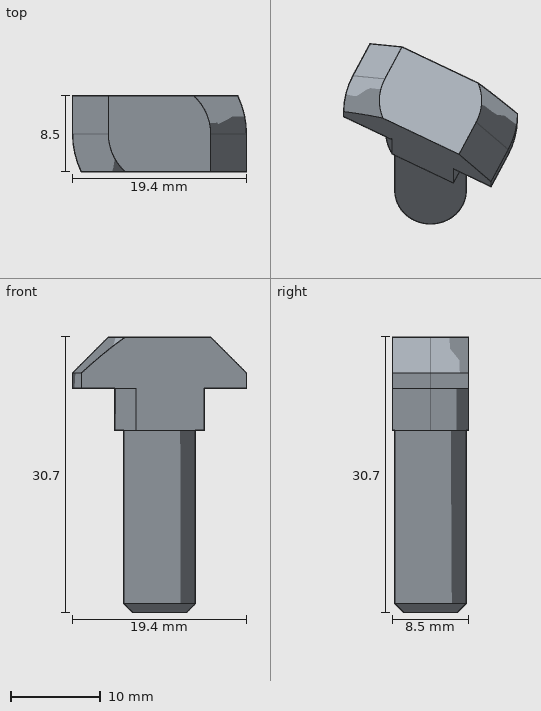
import cadquery as cq


head_length = 19.4
head_width = 8.5
head_edge_height = 1.7
head_bevel = 4.0

neck_length = 10.0
neck_height = 4.7

shank_diameter = 8.0
length_below_head = 25.0
shank_length = length_below_head - neck_height
tip_chamfer = 1.0


def end_profile(length, bottom, edge_top, bevel):
    """Half section in XZ, from the axis out to length / 2, with an optional 45 degree top bevel."""
    end = length / 2
    top = edge_top + bevel
    points = [(0, bottom), (end, bottom), (end, edge_top)]
    if bevel > 0:
        points.append((end - bevel, top))
    points.append((0, top))
    return cq.Workplane("XZ").polyline(points).close()


def half_turn_block(length, bottom, edge_top, bevel=0.0):
    """Block of the head width with two opposite corners rounded about the bolt axis.

    The -X-Y and +X+Y quarters follow a body of revolution, so the block can be
    turned in its slot; the other two quarters keep straight ends.
    """
    half_width = head_width / 2
    straight = end_profile(length, bottom, edge_top, bevel).extrude(half_width)
    height = edge_top + bevel - bottom
    slab = (
        cq.Workplane("XY", origin=(0, 0, bottom))
        .rect(length, half_width, centered=(False, False))
        .extrude(height)
    )
    full_turn = end_profile(length, bottom, edge_top, bevel).revolve(360, (0, 0), (0, 1))
    rounded = full_turn.intersect(slab)
    half = straight.union(rounded)
    other_half = half.rotate((0, 0, 0), (0, 0, 1), 180)
    return half.union(other_half)


def make_shank():
    """Round shank below the neck with a chamfered tip."""
    return (
        cq.Workplane("XY", origin=(0, 0, -neck_height))
        .circle(shank_diameter / 2)
        .extrude(-shank_length)
        .faces("<Z")
        .chamfer(tip_chamfer)
    )


head = half_turn_block(head_length, 0, head_edge_height, head_bevel)
neck = half_turn_block(neck_length, -neck_height, 0)

result = head.union(neck).union(make_shank())